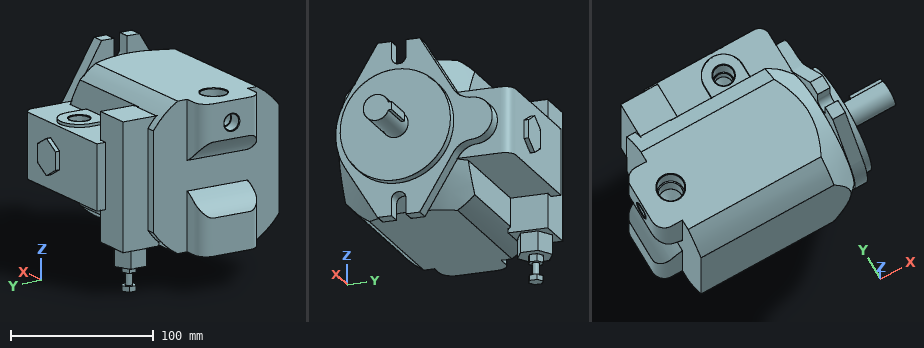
import cadquery as cq
import math


body_rear_x = 18.8
cap_front_x = 50.1
cone_start_x = 126.5
flange_rear_x = 145.8
flange_front_x = 156.0
pilot_front_x = 162.6
shaft_end_x = 200.5

body_radius = 65.0
body_half_height = 56.0
body_near_y = -51.1
cap_far_y = 53.1
body_far_y = 46.0
nose_radius = body_radius - (flange_rear_x - cone_start_x)

lug_width = 50.1
lug_corner_radius = 10.0
lug_curve_radius = 50.1
lug_curve_x = 41.5

flange_radius = 47.3
flange_half_height = 65.0
ear_tip_half_width = 15.8
bolt_slot_width = 10.8
bolt_slot_z = 53.1
lobe_radius = 15.6
lobe_tip_y = 70.2
lobe_fillet = 17.0
pilot_radius = 41.3
shaft_radius = 9.6
key_start_x = 174.8
key_width = 6.0
key_top_y = 11.6

control_rear_x = 49.0
control_far_y = 81.0
control_half_height = 24.7
control_corner_radius = 8.0
boss_x = 102.3
boss_y = 61.8
boss_radius = 15.6
boss_top_z = 26.9
plug_x = 109.7
plug_across_flats = 23.7
plug_end_y = 84.5

drill_point_angle = 118
port_chamfer = 0.6
main_port_x = 23.9
main_thread_radius = 9.8
main_thread_depth = 15.2
main_bore_radius = 8.8
main_bore_depth = 30.0
control_thread_radius = 7.6
control_thread_depth = 16.0
control_bore_radius = 6.8
control_bore_depth = 24.0
gauge_port_z = 39.9
gauge_thread_radius = 6.0
gauge_thread_depth = 10.0
gauge_bore_radius = 5.5

block_rear_x = 25.9
block_front_x = 55.7
block_near_y = 44.1
block_far_y = 73.8
block_bottom_z = -50.3
block_top_z = 45.5
gland_x = 40.7
gland_y = 58.5
gland_across_flats = 22.9
gland_bottom_z = -64.8
screw_x = 41.1
screw_y = 59.3
screw_across_flats = 9.8
screw_radius = 2.6
lock_nut_bottom_z = -70.2
screw_head_top_z = -79.8
screw_bottom_z = -84.0


def box(x_range, y_range, z_range):
    """Box between two limits on each axis."""
    size = [high - low for low, high in (x_range, y_range, z_range)]
    return cq.Workplane("XY").box(*size, centered=False).translate((x_range[0], y_range[0], z_range[0]))


def x_cylinder(radius, start_x, end_x):
    """Cylinder on the shaft axis."""
    return (
        cq.Workplane("XZ")
        .moveTo(start_x, 0)
        .lineTo(start_x, radius)
        .lineTo(end_x, radius)
        .lineTo(end_x, 0)
        .close()
        .revolve(360, (0, 0, 0), (1, 0, 0))
    )


def hex_points(across_flats, turn):
    """Corners of a hexagon centred on the origin, the first one at the angle `turn` in degrees."""
    corner_radius = across_flats / math.sqrt(3)
    angles = [math.radians(turn + 60 * i) for i in range(6)]
    return [(corner_radius * math.cos(a), corner_radius * math.sin(a)) for a in angles]


def make_trimmed_cylinder():
    """Body with its conical nose; the rear cap reaches further to +Y than the front part."""
    barrel = (
        cq.Workplane("XZ")
        .polyline([
            (body_rear_x, 0),
            (body_rear_x, body_radius),
            (cone_start_x, body_radius),
            (flange_rear_x, nose_radius),
            (flange_rear_x, 0),
        ])
        .close()
        .revolve(360, (0, 0, 0), (1, 0, 0))
    )
    height = (-body_half_height, body_half_height)
    envelope = box((body_rear_x, flange_rear_x), (body_near_y, body_far_y), height)
    envelope = envelope.union(box((body_rear_x, cap_front_x), (body_near_y, cap_far_y), height))
    return barrel.intersect(envelope)


def make_port_lugs():
    """Two lugs with rounded vertical corners and convex inner faces about the top and bottom edges."""
    lug_block = (
        box(
            (0, cap_front_x),
            (-lug_width / 2, lug_width / 2),
            (-body_half_height, body_half_height),
        )
        .edges("|Z and <X")
        .fillet(lug_corner_radius)
    )
    rounds = (
        cq.Workplane("XZ", origin=(0, lug_width / 2, 0))
        .pushPoints([(lug_curve_x, body_half_height), (lug_curve_x, -body_half_height)])
        .circle(lug_curve_radius)
        .extrude(lug_width)
    )
    return lug_block.intersect(rounds)


def make_ears():
    """Bolt ears above and below the flange disc, their sides tangent to the disc."""
    tip_distance = math.hypot(ear_tip_half_width, flange_half_height)
    tip_angle = math.atan2(flange_half_height, ear_tip_half_width)
    root_angle = tip_angle - math.acos(flange_radius / tip_distance)
    ear_root_y = flange_radius * math.cos(root_angle)
    ear_root_z = flange_radius * math.sin(root_angle)
    outline = [
        (ear_root_y, ear_root_z),
        (ear_tip_half_width, flange_half_height),
        (-ear_tip_half_width, flange_half_height),
        (-ear_root_y, ear_root_z),
        (-ear_root_y, -ear_root_z),
        (-ear_tip_half_width, -flange_half_height),
        (ear_tip_half_width, -flange_half_height),
        (ear_root_y, -ear_root_z),
    ]
    return (
        cq.Workplane("YZ", origin=(flange_rear_x, 0, 0))
        .polyline(outline)
        .close()
        .extrude(flange_front_x - flange_rear_x)
    )


def make_side_lobe():
    """Rounded lobe on the +Y side, blended into the flange disc by a fillet on each side."""
    lobe_y = lobe_tip_y - lobe_radius
    to_disc = flange_radius + lobe_fillet
    to_lobe = lobe_radius + lobe_fillet
    fillet_y = (to_disc**2 - to_lobe**2 + lobe_y**2) / (2 * lobe_y)
    fillet_z = math.sqrt(to_disc**2 - fillet_y**2)

    disc_y = fillet_y * flange_radius / to_disc
    disc_z = fillet_z * flange_radius / to_disc
    end_y = lobe_y + (fillet_y - lobe_y) * lobe_radius / to_lobe
    end_z = fillet_z * lobe_radius / to_lobe
    middle_angle = (math.atan2(disc_z - fillet_z, disc_y - fillet_y)
                    + math.atan2(end_z - fillet_z, end_y - fillet_y)) / 2
    middle_y = fillet_y + lobe_fillet * math.cos(middle_angle)
    middle_z = fillet_z + lobe_fillet * math.sin(middle_angle)
    return (
        cq.Workplane("YZ", origin=(flange_rear_x, 0, 0))
        .moveTo(0, -disc_z)
        .lineTo(disc_y, -disc_z)
        .threePointArc((middle_y, -middle_z), (end_y, -end_z))
        .threePointArc((lobe_tip_y, 0), (end_y, end_z))
        .threePointArc((middle_y, middle_z), (disc_y, disc_z))
        .lineTo(0, disc_z)
        .close()
        .extrude(flange_front_x - flange_rear_x)
    )


def make_bolt_slots():
    """Round-bottomed slots open at the tips of both ears."""
    length = 2 * (flange_half_height - bolt_slot_z) + bolt_slot_width
    slot_centres = [(0, flange_half_height), (0, -flange_half_height)]
    return (
        cq.Workplane("YZ", origin=(flange_rear_x, 0, 0))
        .pushPoints(slot_centres)
        .slot2D(length, bolt_slot_width, 90)
        .extrude(flange_front_x - flange_rear_x)
    )


def make_flange():
    disc = x_cylinder(flange_radius, flange_rear_x, flange_front_x)
    return disc.union(make_ears()).union(make_side_lobe()).cut(make_bolt_slots())


def make_pilot_and_shaft():
    """Pilot disc and drive shaft with its key on the +Y side."""
    pilot = x_cylinder(pilot_radius, flange_front_x, pilot_front_x)
    shaft = x_cylinder(shaft_radius, flange_front_x, shaft_end_x)
    key = box((key_start_x, shaft_end_x), (0, key_top_y), (-key_width / 2, key_width / 2))
    return pilot.union(shaft).union(key)


def make_control_housing():
    """Slab along the +Y side with a raised port boss and a hexagonal plug."""
    slab = (
        box(
            (control_rear_x, flange_rear_x),
            (0, control_far_y),
            (-control_half_height, control_half_height),
        )
        .edges("|Z and >X and >Y")
        .fillet(control_corner_radius)
    )
    boss = cq.Workplane("XY").center(boss_x, boss_y).circle(boss_radius).extrude(boss_top_z)
    boss_foot = box((boss_x - boss_radius, boss_x + boss_radius), (0, boss_y), (0, boss_top_z))
    plug = (
        cq.Workplane("XZ", origin=(plug_x, plug_end_y, 0))
        .polyline(hex_points(plug_across_flats, 90))
        .close()
        .extrude(plug_end_y - control_far_y)
    )
    return slab.union(boss).union(boss_foot).union(plug)


def make_threaded_port(x, y, top_z, thread_radius, thread_depth, bore_radius, bore_depth):
    """Vertical port void: chamfered mouth, threaded length, narrower bore and drill point."""
    point_depth = bore_radius / math.tan(math.radians(drill_point_angle / 2))
    return (
        cq.Workplane("XZ", origin=(x, y, top_z))
        .polyline([
            (0, 0),
            (thread_radius + port_chamfer, 0),
            (thread_radius, -port_chamfer),
            (thread_radius, -thread_depth),
            (bore_radius, -thread_depth),
            (bore_radius, -bore_depth),
            (0, -bore_depth - point_depth),
        ])
        .close()
        .revolve(360, (0, 0, 0), (0, 1, 0))
    )


def make_gauge_port():
    """Chamfered and stepped hole from the rear face of the upper lug into the main port."""
    return (
        cq.Workplane("XY", origin=(0, 0, gauge_port_z))
        .polyline([
            (0, 0),
            (0, gauge_thread_radius + port_chamfer),
            (port_chamfer, gauge_thread_radius),
            (gauge_thread_depth, gauge_thread_radius),
            (gauge_thread_depth, gauge_bore_radius),
            (main_port_x, gauge_bore_radius),
            (main_port_x, 0),
        ])
        .close()
        .revolve(360, (0, 0, 0), (1, 0, 0))
    )


def make_block():
    return box(
        (block_rear_x, block_front_x),
        (block_near_y, block_far_y),
        (block_bottom_z, block_top_z),
    )


def make_pump():
    """Pump with all its fixed parts, and a recess that seats the compensator block."""
    pump = make_trimmed_cylinder()
    for part in (make_port_lugs(), make_flange(), make_pilot_and_shaft(), make_control_housing()):
        pump = pump.union(part)
    main_port = make_threaded_port(
        main_port_x, 0, body_half_height,
        main_thread_radius, main_thread_depth, main_bore_radius, main_bore_depth,
    )
    control_port = make_threaded_port(
        boss_x, boss_y, boss_top_z,
        control_thread_radius, control_thread_depth, control_bore_radius, control_bore_depth,
    )
    return pump.cut(main_port).cut(control_port).cut(make_gauge_port()).cut(make_block())


def z_hexagon(x, y, across_flats, top_z, bottom_z):
    """Hexagonal prism along Z with its corners towards +Y and -Y."""
    return (
        cq.Workplane("XY", origin=(x, y, bottom_z))
        .polyline(hex_points(across_flats, 90))
        .close()
        .extrude(top_z - bottom_z)
    )


def make_compensator():
    """Compensator block with its hexagonal gland, lock nut and adjusting screw below."""
    gland = z_hexagon(gland_x, gland_y, gland_across_flats, block_bottom_z, gland_bottom_z)
    lock_nut = z_hexagon(screw_x, screw_y, screw_across_flats, gland_bottom_z, lock_nut_bottom_z)
    shank = (
        cq.Workplane("XY", origin=(screw_x, screw_y, screw_head_top_z))
        .circle(screw_radius)
        .extrude(lock_nut_bottom_z - screw_head_top_z)
    )
    head = z_hexagon(screw_x, screw_y, screw_across_flats, screw_head_top_z, screw_bottom_z)
    return make_block().union(gland).union(lock_nut).union(shank).union(head)


pump = make_pump()
compensator = make_compensator()

result = cq.Compound.makeCompound([pump.solids().val(), compensator.solids().val()])